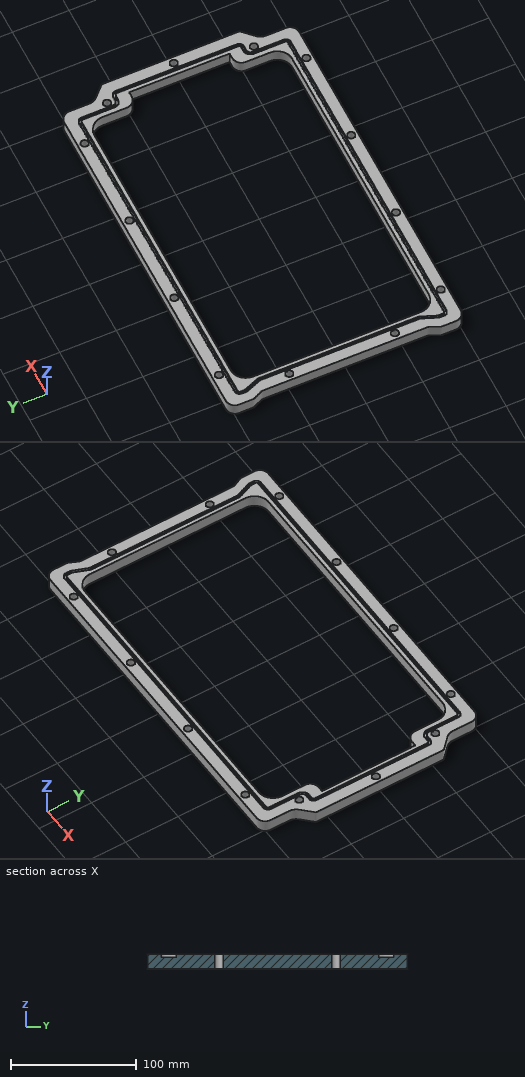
import cadquery as cq
import math

length = 331.0
width = 208.0
thickness = 12.0
half_width = width / 2

corner_radius = 8.3
recess_depth = 4.3
recess_ramp_start = 82.8
recess_ramp_end = 73.5
recess_ramp_radius = 5.0
shoulder_x = 318.0
tab_half_width = 61.0
tab_corner_radius = 2.5
tab_root_radius = 10.0
tab_root_y = tab_half_width + length - shoulder_x

window_left = 20.2
window_right = 301.5
window_half_width = 87.5
window_radius = 13.2
bay_right = 314.5
bay_half_width = 44.5
bay_radius = 8.3

groove_width = 2.3
groove_depth = 2.3
groove_left = 15.5
groove_corner_x = 10.0
groove_half_width = 92.5
groove_ramp_start = 85.0
groove_ramp_end = 70.8
groove_right = 307.2
groove_bay_right = 319.0
groove_bay_half_width = 56.5
groove_corner_radius = 3.0
groove_ramp_radius = 3.3
groove_jog_radius = 5.0

hole_diameter = 6.5
long_side_hole_y = 98.0
long_side_first_x = 33.0
long_side_pitch = 83.7
long_side_count = 4
left_hole = (10.3, 46.7)
jog_hole = (312.5, 65.0)
right_hole = (325.0, 0)


def unit(start, end):
    """Unit direction from one corner to another."""
    dx, dy = end[0] - start[0], end[1] - start[1]
    size = math.hypot(dx, dy)
    return dx / size, dy / size


def symmetric_outline(upper_corners):
    """Closed outline from (x, y, radius) corners with y > 0, mirrored about the X axis."""
    lower_corners = [(x, -y, radius) for x, y, radius in reversed(upper_corners)]
    corners = upper_corners + lower_corners
    outline = cq.Workplane("XY").moveTo(upper_corners[0][0], 0)
    for index, (x, y, radius) in enumerate(corners):
        if radius == 0:
            outline = outline.lineTo(x, y)
            continue
        back = unit((x, y), corners[index - 1])
        ahead = unit((x, y), corners[(index + 1) % len(corners)])
        half_angle = math.acos(back[0] * ahead[0] + back[1] * ahead[1]) / 2
        setback = radius / math.tan(half_angle)
        middle_offset = radius / math.sin(half_angle) - radius
        bisector = unit((0, 0), (back[0] + ahead[0], back[1] + ahead[1]))
        arc_start = (x + setback * back[0], y + setback * back[1])
        arc_middle = (x + middle_offset * bisector[0], y + middle_offset * bisector[1])
        arc_end = (x + setback * ahead[0], y + setback * ahead[1])
        outline = outline.lineTo(*arc_start).threePointArc(arc_middle, arc_end)
    return outline.close()


def frame_plate():
    """Plate with the stepped outer outline."""
    return symmetric_outline([
        (recess_depth, recess_ramp_end, recess_ramp_radius),
        (0, recess_ramp_start, recess_ramp_radius),
        (0, half_width, corner_radius),
        (shoulder_x, half_width, corner_radius),
        (shoulder_x, tab_root_y, tab_root_radius),
        (length, tab_half_width, tab_corner_radius),
    ]).extrude(thickness)


def window():
    """Central opening with its wider bay on the right."""
    return symmetric_outline([
        (window_left, window_half_width, window_radius),
        (window_right, window_half_width, window_radius),
        (window_right, bay_half_width, bay_radius),
        (bay_right, bay_half_width, 0),
    ]).extrude(thickness)


def seal_groove():
    """Closed ring cut into the top face, following the frame."""
    centreline = symmetric_outline([
        (groove_left, groove_ramp_end, groove_ramp_radius),
        (groove_corner_x, groove_ramp_start, groove_ramp_radius),
        (groove_corner_x, groove_half_width, groove_corner_radius),
        (groove_right, groove_half_width, groove_corner_radius),
        (groove_right, groove_bay_half_width, groove_jog_radius),
        (groove_bay_right, groove_bay_half_width, groove_corner_radius),
    ]).val()
    outer_edge = centreline.offset2D(groove_width / 2)[0]
    inner_edge = centreline.offset2D(-groove_width / 2)[0]
    ring = cq.Solid.extrudeLinear(outer_edge, [inner_edge], cq.Vector(0, 0, groove_depth))
    return cq.Workplane(obj=ring.moved(cq.Location(cq.Vector(0, 0, thickness - groove_depth))))


def bolt_holes():
    """Cylinders for every through hole."""
    centres = [right_hole]
    for side in (1, -1):
        centres += [(x, side * y) for x, y in (left_hole, jog_hole)]
        for index in range(long_side_count):
            centres.append((long_side_first_x + index * long_side_pitch, side * long_side_hole_y))
    return cq.Workplane("XY").pushPoints(centres).circle(hole_diameter / 2).extrude(thickness)


result = frame_plate().cut(window()).cut(seal_groove()).cut(bolt_holes())